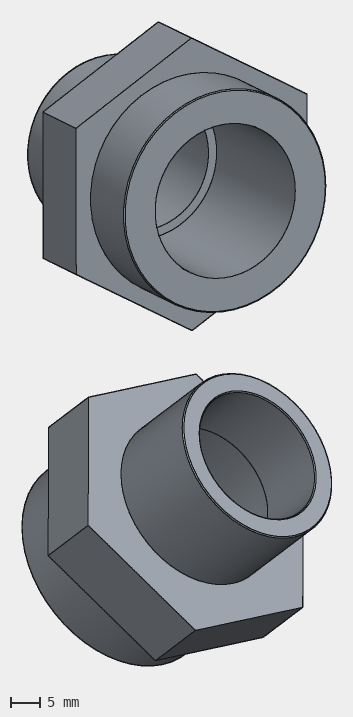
import cadquery as cq
import math

spigot_length = 18.35
hex_length = 11.85
collar_length = 12.0
bore_length = 14.05
total_length = spigot_length + hex_length + collar_length

hex_across_corners = 51.95
spigot_diameter = 31.35
collar_diameter = 39.4
bore_diameter = 24.1
socket_diameter = 27.3
edge_chamfer = 0.2

hex_turn = 0.15


def cylinder(start, length, diameter):
    """A cylinder along +X that begins at x = start."""
    return cq.Workplane("YZ", origin=(start, 0, 0)).circle(diameter / 2).extrude(length)


def hexagon(start, length):
    """A hexagonal prism along +X with two corners almost on the Z axis."""
    corners = []
    for index in range(6):
        angle = math.radians(90 + hex_turn + 60 * index)
        radius = hex_across_corners / 2
        corners.append((radius * math.cos(angle), radius * math.sin(angle)))
    return cq.Workplane("YZ", origin=(start, 0, 0)).polyline(corners).close().extrude(length)


spigot = cylinder(0, spigot_length, spigot_diameter)
spigot = spigot.faces("<X").chamfer(edge_chamfer)
collar_start = spigot_length + hex_length
collar = cylinder(collar_start, collar_length, collar_diameter)
collar = collar.faces(">X").chamfer(edge_chamfer)
body = spigot.union(hexagon(spigot_length, hex_length)).union(collar)

bore = cylinder(0, total_length, bore_diameter)
socket = cylinder(bore_length, total_length - bore_length, socket_diameter)
body = body.cut(bore).cut(socket)

mouth = cq.Workplane("YZ").circle(bore_diameter / 2 + edge_chamfer)
mouth = mouth.workplane(offset=edge_chamfer).circle(bore_diameter / 2).loft(ruled=True)
result = body.cut(mouth)